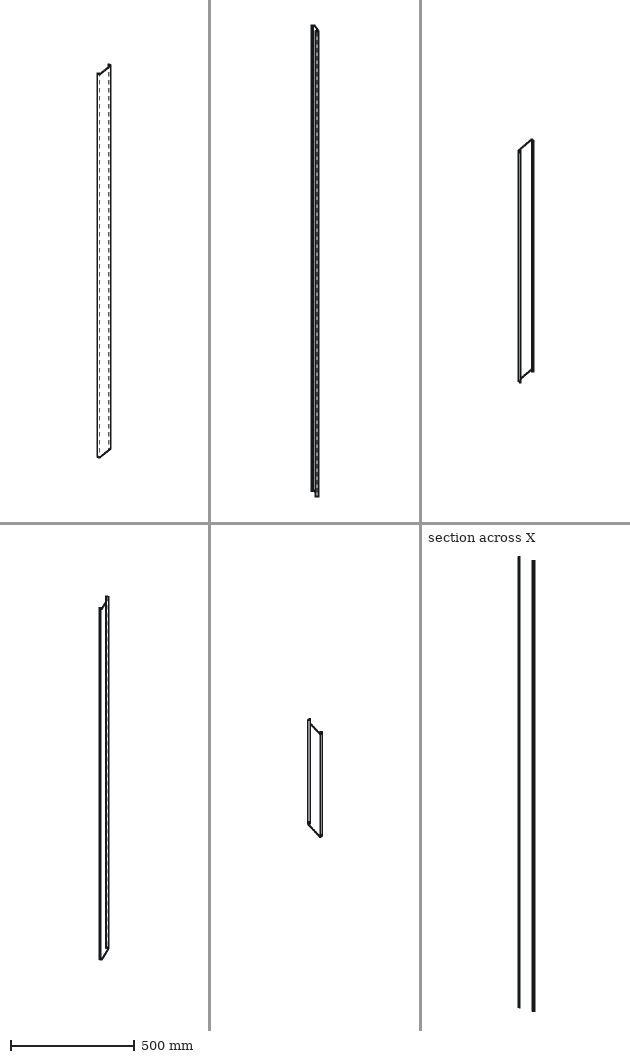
import cadquery as cq
import math

LENGTH = 2000.0
WIDTH = 77.61
HEIGHT = 13.07
SHEET = 1.0

FLARE_ANGLE = math.radians(4.2)
FLARE_START_X = -1.0
LIP_ANGLE = math.radians(35.0)
LIP_END_Y = 31.2

CORNER_INNER_RADIUS = 0.8
TIP_INNER_RADIUS = 1.6

CORNER_OUTER_RADIUS = CORNER_INNER_RADIUS + SHEET
TIP_OUTER_RADIUS = TIP_INNER_RADIUS + SHEET


def half_mid_line():
    """Mid-line of the sheet on the +Y side: web corner, flare, tip, lip end."""
    leg_normal = (math.sin(FLARE_ANGLE), math.cos(FLARE_ANGLE))
    lip_normal = (-math.sin(LIP_ANGLE), -math.cos(LIP_ANGLE))
    normals_dot = leg_normal[0] * lip_normal[0] + leg_normal[1] * lip_normal[1]

    bend_center = (TIP_OUTER_RADIUS - HEIGHT / 2, WIDTH / 2 - TIP_OUTER_RADIUS)
    to_tip = (TIP_OUTER_RADIUS - SHEET / 2) / (1 + normals_dot)
    tip_x = bend_center[0] + to_tip * (leg_normal[0] + lip_normal[0])
    tip_y = bend_center[1] + to_tip * (leg_normal[1] + lip_normal[1])

    leg_y = tip_y - (FLARE_START_X - tip_x) * math.tan(FLARE_ANGLE)
    lip_end_x = tip_x + (tip_y - LIP_END_Y) / math.tan(LIP_ANGLE)
    web_x = HEIGHT / 2 - SHEET / 2
    return [(web_x, leg_y), (FLARE_START_X, leg_y), (tip_x, tip_y), (lip_end_x, LIP_END_Y)]


def left_normal(start, end):
    """Unit normal on the left of the line from start to end."""
    run = math.dist(start, end)
    return ((start[1] - end[1]) / run, (end[0] - start[0]) / run)


def offset_line(points, distance):
    """Polyline moved to its left by distance, with mitred corners."""
    normals = [left_normal(a, b) for a, b in zip(points, points[1:])]
    before = [normals[0]] + normals
    after = normals + [normals[-1]]
    moved = []
    for (x, y), n, m in zip(points, before, after):
        scale = distance / (1 + n[0] * m[0] + n[1] * m[1])
        moved.append((x + scale * (n[0] + m[0]), y + scale * (n[1] + m[1])))
    return moved


def round_bend(body, corner, radius):
    """Round the Z edge through a section corner and its mirror on the -Y side."""
    x, y = corner
    for side_y in (y, -y):
        nearest = cq.selectors.NearestToPointSelector((x, side_y, 0))
        body = body.edges("|Z").edges(nearest).fillet(radius)
    return body


def make_cover():
    half = half_mid_line()
    mirrored = [(x, -y) for x, y in reversed(half)]
    mid_line = mirrored + half
    outer = offset_line(mid_line, -SHEET / 2)
    inner = offset_line(mid_line, SHEET / 2)

    section = cq.Workplane("XY").polyline(outer + inner[::-1]).close()
    body = section.extrude(LENGTH / 2, both=True)

    corner = len(mirrored)
    tip = corner + 2
    body = round_bend(body, outer[corner], CORNER_OUTER_RADIUS)
    body = round_bend(body, inner[corner], CORNER_INNER_RADIUS)
    body = round_bend(body, outer[tip], TIP_OUTER_RADIUS)
    return round_bend(body, inner[tip], TIP_INNER_RADIUS)


result = make_cover()